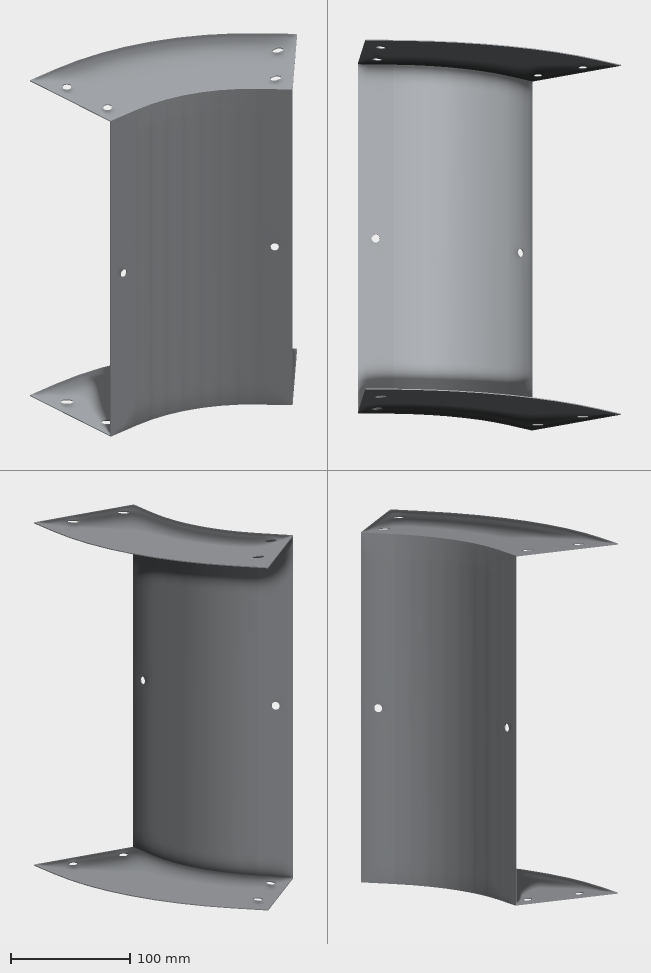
import cadquery as cq
import math

height = 300.0
width = 100.0
inner_radius = 140.5
bend_angle = 45.0
leg_length = 30.0
thickness = 0.8

hole_diameter = 7.0
slot_diameter = 7.0
slot_length = 10.2
slots_per_leg = 2
slot_first_inset = 20.0
slot_spacing = 50.0
upper_slot_direction = 135.0
lower_slot_direction = 45.0

outer_radius = inner_radius + width
web_cut_depth = 2 * thickness


def bend_point(radius, angle):
    """Point on the bend, with the start edge along X and its outer corner at the origin."""
    turn = math.radians(angle)
    return (outer_radius - radius * math.cos(turn), leg_length + radius * math.sin(turn))


def end_point(radius):
    """Point on the far end edge, one straight leg beyond the bend."""
    turn = math.radians(bend_angle)
    x, y = bend_point(radius, bend_angle)
    return (x + leg_length * math.sin(turn), y + leg_length * math.cos(turn))


def elbow(large_radius, depth):
    """Solid elbow between the inner radius and a larger radius."""
    return (
        cq.Workplane("XY")
        .moveTo(outer_radius - large_radius, 0)
        .lineTo(*bend_point(large_radius, 0))
        .threePointArc(bend_point(large_radius, bend_angle / 2), bend_point(large_radius, bend_angle))
        .lineTo(*end_point(large_radius))
        .lineTo(*end_point(inner_radius))
        .lineTo(*bend_point(inner_radius, bend_angle))
        .threePointArc(bend_point(inner_radius, bend_angle / 2), bend_point(inner_radius, 0))
        .lineTo(outer_radius - inner_radius, 0)
        .close()
        .extrude(depth)
    )


def slot_pair(y, direction, bottom):
    """Cutters for one leg's slots in the flange whose lower face is at bottom."""
    positions = [(width - slot_first_inset - i * slot_spacing, y) for i in range(slots_per_leg)]
    return (
        cq.Workplane("XY", origin=(0, 0, bottom))
        .pushPoints(positions)
        .slot2D(slot_length, slot_diameter, direction)
        .extrude(thickness)
    )


def leg_cutters(y):
    """All hole cutters of one leg, in line with the start leg and centred at y."""
    web_hole = (
        cq.Workplane("YZ", origin=(width - web_cut_depth, 0, 0))
        .center(y, height / 2)
        .circle(hole_diameter / 2)
        .extrude(web_cut_depth)
    )
    lower_slots = slot_pair(y, lower_slot_direction, 0)
    upper_slots = slot_pair(y, upper_slot_direction, height - thickness)
    return web_hole.union(lower_slots).union(upper_slots)


flange = elbow(outer_radius, thickness)
web = elbow(inner_radius + thickness, height)
body = web.union(flange).union(flange.translate((0, 0, height - thickness)))

bend_centre = (outer_radius, leg_length, 0)
bend_axis_end = (outer_radius, leg_length, height)
start_holes = leg_cutters(leg_length / 2)
far_holes = leg_cutters(leg_length * 3 / 2).rotate(bend_centre, bend_axis_end, -bend_angle)

result = body.cut(start_holes).cut(far_holes)